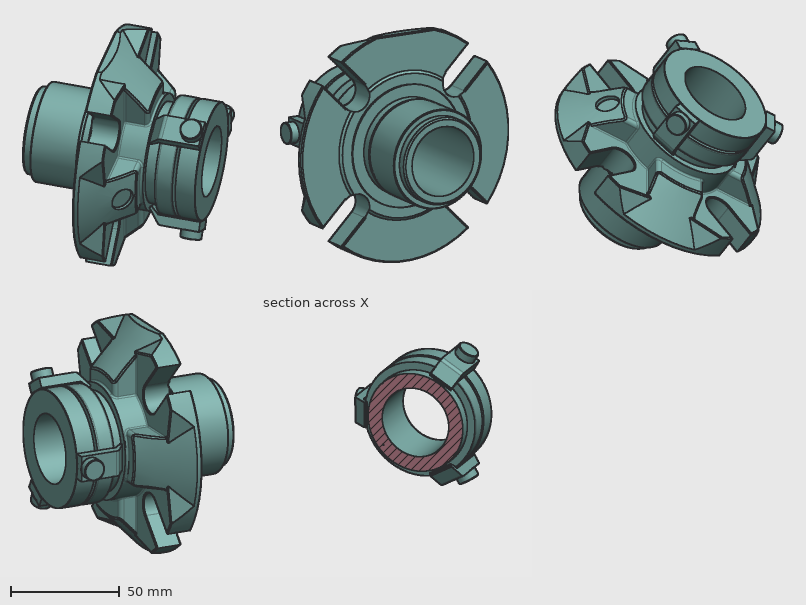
import cadquery as cq
import math


overall_length = 85.01
overall_height = 108.63

bore_dia = 32.99
tip_dia = 41.17
tip_end = 4.5
tip_chamfer = 0.8
sleeve_dia = 46.97
sleeve_end = 26.4
sleeve_chamfer = 0.4
relief_dia = 45.14
relief_end = 27.8
shoulder_dia = 46.43

pilot_dia = 58.14
pilot_start = 32.3
boss_start = 33.1
boss_radius = 35.4
boss_bevel = 1.3
flange_dia = 110.87
flange_start = 34.0
rim_end = 36.6
flange_end = 46.6
rim_chamfer = 0.6
rear_chamfer = 0.5
flat_height = overall_height - flange_dia / 2
hub_dia = 55.0
hub_end = 59.7

lobe_count = 4
lobe_step = 360 / lobe_count
slot_width = 14.0
slot_center_radius = 37.6
slot_chamfer = 0.6

facet_rim_angle = 20.3
facet_outer_angle = 30.2
facet_inner_angle = 12.7

pad_width = 25.4
pad_end = 58.3
short_pad_end = 55.2
long_pad_angles = (0, 90, 270)
short_pad_angle = 180
pad_corner_radius = 2.1
pad_root_radius = 1.0
pad_chamfer = 0.6
flange_root_radius = 0.6
port_dia = 11.0
port_x = 53.3
port_depth = 2.1

neck_dia = 47.6
collar_dia = 55.55
collar_start = 65.4
groove_start = 73.8
groove_end = 75.3
groove_dia = 42.82
collar_end = 84.7
collar_chamfer = 0.2
collar_bevel_length = 0.75
collar_bevel_depth = 0.15

clip_angles = (-90, 30, 150)
clip_width = 12.2
clip_outer = 32.5
clip_inner = 27.75
clip_outer_bend_x = 65.5
clip_inner_bend_x = 64.7
clip_bend_radius = 2.5
clip_tip_outer = (60.0, 25.2)
clip_tip_inner = (60.8, 24.2)
screw_dia = 10.0
screw_x = overall_length - screw_dia / 2
screw_top = 36.75
screw_chamfer = 0.3

flange_radius = flange_dia / 2
reach = flange_dia
tolerance = 0.02
cutter_margin = 1.0


def about_axis(shape, angle):
    """Turn a shape about the X axis."""
    return shape.rotate((0, 0, 0), (1, 0, 0), angle)


def radius_at(point):
    return math.hypot(point.y, point.z)


def edges_where(solid, wanted):
    """Edges whose midpoint passes a test."""
    return [edge for edge in solid.Edges() if wanted(edge.positionAt(0.5))]


def round_edges(body, radius, wanted):
    solid = body.val()
    return cq.Workplane(solid.fillet(radius, edges_where(solid, wanted)))


def bevel_edges(body, size, wanted):
    solid = body.val()
    return cq.Workplane(solid.chamfer(size, None, edges_where(solid, wanted)))


def turned(points):
    """Revolve an (x, radius) outline about the X axis."""
    return cq.Workplane("XY").polyline(points).close().revolve(360, (0, 0, 0), (1, 0, 0))


def cylinder(diameter, start, end):
    return cq.Workplane("YZ").workplane(offset=start).circle(diameter / 2).extrude(end - start)


def cone_radius(x):
    """Radius of the 45 degree cone that backs every lobe."""
    return flange_radius - (x - rim_end)


def on_lobe(x, radius, angle):
    """Point on the +Z lobe, at an angle from the lobe centre toward +Y."""
    turn = math.radians(angle)
    return cq.Vector(x, radius * math.sin(turn), radius * math.cos(turn))


def make_sleeve():
    tip = cylinder(tip_dia, 0, tip_end).faces("<X").chamfer(tip_chamfer)
    sleeve = cylinder(sleeve_dia, tip_end, sleeve_end).faces("<X").chamfer(sleeve_chamfer)
    relief = cylinder(relief_dia, sleeve_end, relief_end)
    shoulder = cylinder(shoulder_dia, relief_end, flange_start)
    return tip.union(sleeve).union(relief).union(shoulder)


def make_pilot():
    boss = turned([
        (boss_start, 0),
        (boss_start, boss_radius - boss_bevel),
        (flange_start, boss_radius),
        (flange_start, 0),
    ])
    return boss.union(cylinder(pilot_dia, pilot_start, flange_start))


def outside_facet():
    """Everything outside the facet on the +Y side of the +Z lobe."""
    rim_point = on_lobe(rim_end, flange_radius, facet_rim_angle)
    outer_point = on_lobe(flange_end, flange_radius, facet_outer_angle)
    inner_point = on_lobe(flange_end, cone_radius(flange_end), facet_inner_angle)
    along = outer_point - inner_point
    outward = along.cross(rim_point - inner_point)
    facet = cq.Plane(rim_point, along, outward)
    return cq.Workplane(facet).rect(2 * reach, 2 * reach).extrude(reach)


def make_lobe_reliefs():
    """Cutters that bring the middle of each lobe down to the cone, between its two facets."""
    front = rim_end - cutter_margin
    outside_cone = turned([
        (front, cone_radius(front)),
        (flange_end, cone_radius(front)),
        (flange_end, cone_radius(flange_end)),
    ])
    outside = outside_facet()
    outside = outside.intersect(outside.mirror("XZ"))
    return [
        outside_cone.intersect(about_axis(outside, lobe * lobe_step))
        for lobe in range(lobe_count)
    ]


def is_on_cone(point):
    return abs(radius_at(point) - cone_radius(point.x)) < tolerance


def is_ear_edge(point):
    """Rear edges of the ears and slots; the cone runs on into the pads without an edge break."""
    return abs(point.x - flange_end) < tolerance and not is_on_cone(point)


def make_flange():
    above_flat = (
        cq.Workplane("XY").workplane(offset=flat_height)
        .rect(2 * reach, 2 * reach).extrude(reach)
    )
    disc = cylinder(flange_dia, flange_start, flange_end).cut(above_flat)
    disc = disc.faces("<X").chamfer(rim_chamfer)
    flange = disc.union(make_pilot())
    for relief in make_lobe_reliefs():
        flange = flange.cut(relief)
    slot = make_slot()
    for lobe in range(lobe_count):
        flange = flange.cut(about_axis(slot, lobe * lobe_step))
    return bevel_edges(flange, rear_chamfer, is_ear_edge)


def make_pad_block(end):
    """Uncut block of the port pad on the +Z lobe."""
    length = end - flange_end
    return (
        cq.Workplane("XY").center(flange_end + length / 2, 0).rect(length, pad_width)
        .extrude(flange_radius).edges("|Z and >X").fillet(pad_corner_radius)
    )


def is_pad_root(point):
    """Where a pad meets the round hub."""
    on_hub = abs(radius_at(point) - hub_dia / 2) < tolerance
    return on_hub and flange_end + tolerance < point.x < pad_end + tolerance


def is_pad_rim(point):
    """Edge of the conical top of a pad."""
    return is_on_cone(point) and point.x > flange_end + tolerance


def is_flange_root(point):
    """Where the hub and the pad sides meet the rear face of the flange."""
    on_face = abs(point.x - flange_end) < tolerance
    on_pad_side = abs(min(abs(point.y), abs(point.z)) - pad_width / 2) < tolerance
    near_hub = radius_at(point) < hub_dia / 2 + pad_root_radius
    return on_face and (on_pad_side or near_hub)


def make_hub():
    block = make_pad_block(pad_end)
    blocks = about_axis(make_pad_block(short_pad_end), short_pad_angle)
    for angle in long_pad_angles:
        blocks = blocks.union(about_axis(block, angle))
    cone = turned([
        (flange_end, 0),
        (flange_end, cone_radius(flange_end)),
        (hub_end, cone_radius(hub_end)),
        (hub_end, 0),
    ])
    hub = blocks.intersect(cone).union(cylinder(hub_dia, flange_end, hub_end))
    return round_edges(hub, pad_root_radius, is_pad_root)


def make_slot():
    """Cutter for the slot between +Y and +Z, with the chamfer of its front edges."""
    depth = flange_end - pilot_start
    half = slot_width / 2
    center = cq.Workplane("YZ").workplane(offset=pilot_start).center(0, slot_center_radius)
    round_end = center.circle(half).extrude(depth)
    channel = center.center(0, reach / 2).rect(slot_width, reach).extrude(depth)
    bevel = (
        cq.Workplane("XY").workplane(offset=slot_center_radius)
        .polyline([
            (flange_start, -half - slot_chamfer),
            (flange_start, half + slot_chamfer),
            (flange_start + slot_chamfer, half),
            (flange_start + slot_chamfer, -half),
        ]).close().extrude(reach)
    )
    return about_axis(channel.union(round_end).union(bevel), -lobe_step / 2)


def make_port():
    """Round recess square to the cone of the -Y pad."""
    mouth = cq.Plane((port_x, -cone_radius(port_x), 0), (0, 0, 1), (1, -1, 0))
    return cq.Workplane(mouth).circle(port_dia / 2).extrude(port_depth, both=True)


def make_collar():
    front = cylinder(collar_dia, collar_start, groove_start)
    front = front.edges().chamfer(collar_bevel_length, collar_bevel_depth)
    rear = cylinder(collar_dia, groove_end, collar_end).faces(">X").chamfer(collar_chamfer)
    neck = cylinder(neck_dia, hub_end, collar_start)
    groove = cylinder(groove_dia, groove_start, groove_end)
    return neck.union(front).union(groove).union(rear)


def make_clip():
    """Setting clip and screw on the +Z side."""
    bar = (
        cq.Workplane("XZ")
        .polyline([
            clip_tip_outer,
            (clip_outer_bend_x, clip_outer),
            (collar_end, clip_outer),
            (collar_end, clip_inner),
            (clip_inner_bend_x, clip_inner),
            clip_tip_inner,
        ]).close().extrude(clip_width / 2, both=True)
    )
    at_bend = cq.selectors.NearestToPointSelector((clip_outer_bend_x, 0, clip_outer))
    bar = bar.edges(at_bend).fillet(clip_bend_radius)
    screw = (
        cq.Workplane("XY").workplane(offset=clip_outer).center(screw_x, 0)
        .circle(screw_dia / 2).extrude(screw_top - clip_outer)
        .faces(">Z").chamfer(screw_chamfer)
    )
    return bar.union(screw)


gland = make_flange().union(make_hub())
gland = round_edges(gland, flange_root_radius, is_flange_root)
gland = bevel_edges(gland, pad_chamfer, is_pad_rim)
gland = gland.cut(make_port())

result = make_sleeve().union(gland).union(make_collar())
clip = make_clip()
for angle in clip_angles:
    result = result.union(about_axis(clip, angle))
result = result.cut(cylinder(bore_dia, 0, collar_end))